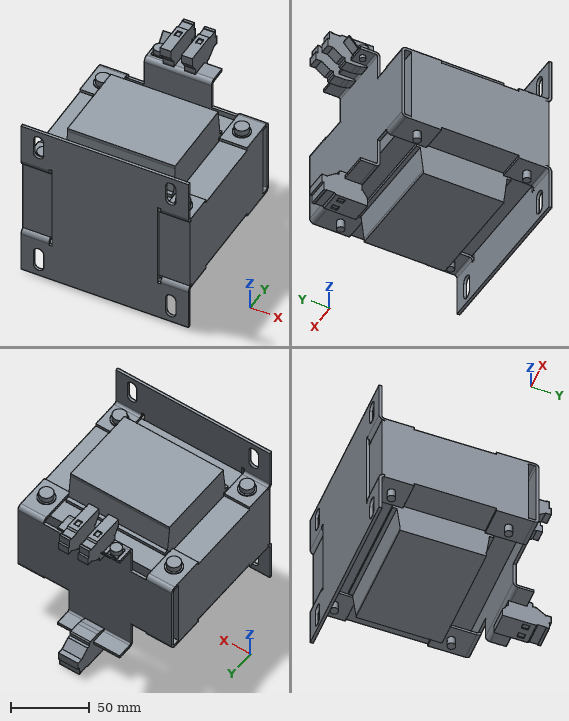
import cadquery as cq
import math


WIDTH = 120.0
DEPTH = 137.7
HEIGHT = 127.0
SHEET = 2.0

CORE_HALF_HEIGHT = 26.9
CORE_BACK = 101.8
WINDOW_FRONT = 22.3
WINDOW_BACK = 81.8
STRAP_WIDTH = 20.0
STRAP_INNER = WIDTH / 2 - STRAP_WIDTH

COIL_WIDTH = 77.1
COIL_TOP = 49.6
COIL_TOP_DEPTH = 58.7
COIL_BASE_DEPTH = 63.6
COIL_RIM_HEIGHT = 2.3
COIL_MIDDLE_Y = (WINDOW_FRONT + WINDOW_BACK) / 2
FLANGE_DEPTH = 68.8
FLANGE_THICKNESS = 2.3

PLATE_HEIGHT = 121.2
PLATE_OPENING_INNER = 37.9
PLATE_OPENING_HALF_HEIGHT = 32.0
PLATE_TAB_LENGTH = 24.0
PLATE_BEND_RADIUS = 4.0
SLOT_LENGTH = 18.0
SLOT_WIDTH = 7.3
SLOT_OFFSET = 47.4

BRACKET_BACK = 108.9
BRACKET_FRONT = BRACKET_BACK - SHEET
STRAP_FRONT = 80.0
STRAP_BEND_RADIUS = 3.3
TERMINAL_TAB_LEFT = -28.1
TERMINAL_TAB_RIGHT = 20.2
TERMINAL_TAB_BACK = 121.0
TERMINAL_TAB_HEIGHT = 47.4
TERMINAL_TAB_BEND_RADIUS = 3.3

BOLT_X = 49.7
BOLT_ROWS_Y = (12.4, 92.1)
BOLT_HEAD_DIAMETER = 9.8
BOLT_HEAD_TOP = 33.7
BOLT_DIAMETER = 5.4
BOLT_END = -35.3
BOLT_WASHER_DIAMETER = 12.1
BOLT_WASHER_THICKNESS = 0.7

TERMINAL_WIDTH = 7.7
TERMINAL_FRONT = 104.5
POCKET_WIDTH = 3.5
POCKET_LENGTH = 4.5
POCKET_DEPTH = 1.1
POCKET_Y = 121.7
UPPER_TERMINALS_X = (-11.4, 3.9)
LOWER_TERMINALS_X = (-3.7, 3.9)

LUG_X = -21.9
LUG_Y = 116.1
LUG_WIDTH = 7.8
LUG_BLADE_WIDTH = 7.0
LUG_THICKNESS = 0.7
LUG_FRONT = 111.8
LUG_BEND_Y = 121.5
LUG_BLADE_REACH = 6.7
LUG_BLADE_RISE = 7.7
EARTH_HEAD_DIAMETER = 8.0
EARTH_HEAD_TOP = 51.9
EARTH_SCREW_DIAMETER = 4.1
EARTH_SCREW_END = 43.0


def box(x_range, y_range, z_range):
    """Block between two limits along each axis."""
    sizes = [high - low for low, high in (x_range, y_range, z_range)]
    corner = (x_range[0], y_range[0], z_range[0])
    return cq.Workplane("XY").box(*sizes, centered=False).translate(corner)


def extrude_across(profile, left, right):
    """Extrude a closed YZ profile from x = left to x = right."""
    return profile.extrude(right - left).translate((left, 0, 0))


def cylinder(x, y, diameter, bottom, top):
    """Upright cylinder."""
    return cq.Workplane("XY", origin=(x, y, bottom)).circle(diameter / 2).extrude(top - bottom)


def with_mirror(solid, plane):
    """The solid joined with its mirror image."""
    return solid.union(solid.mirror(plane))


def bent_sheet(corner_y, corner_z, far_y, far_z, radius):
    """L-shaped YZ profile of a sheet whose outer faces meet at the given corner."""
    y_way = math.copysign(1, far_y - corner_y)
    z_way = math.copysign(1, far_z - corner_z)
    inner = radius - SHEET
    center_y = corner_y + y_way * radius
    center_z = corner_z + z_way * radius
    diagonal = math.sqrt(0.5)

    def on_bend(bend_radius):
        return center_y - y_way * bend_radius * diagonal, center_z - z_way * bend_radius * diagonal

    return (
        cq.Workplane("YZ")
        .moveTo(far_y, corner_z)
        .lineTo(center_y, corner_z)
        .threePointArc(on_bend(radius), (corner_y, center_z))
        .lineTo(corner_y, far_z)
        .lineTo(corner_y + y_way * SHEET, far_z)
        .lineTo(corner_y + y_way * SHEET, center_z)
        .threePointArc(on_bend(inner), (center_y, corner_z + z_way * SHEET))
        .lineTo(far_y, corner_z + z_way * SHEET)
        .close()
    )


def make_core():
    x_range = (-WIDTH / 2, WIDTH / 2)
    z_range = (-CORE_HALF_HEIGHT, CORE_HALF_HEIGHT)
    core = box(x_range, (SHEET, CORE_BACK), z_range)
    window = box((-STRAP_INNER, STRAP_INNER), (WINDOW_FRONT, WINDOW_BACK), z_range)
    return core.cut(window)


def make_coil():
    winding = box(
        (-COIL_WIDTH / 2, COIL_WIDTH / 2),
        (WINDOW_FRONT, WINDOW_BACK),
        (-CORE_HALF_HEIGHT, CORE_HALF_HEIGHT),
    )
    flange = (
        cq.Workplane("XY", origin=(0, COIL_MIDDLE_Y, CORE_HALF_HEIGHT))
        .rect(COIL_WIDTH, FLANGE_DEPTH)
        .extrude(FLANGE_THICKNESS)
    )
    head_profile = (
        cq.Workplane("YZ")
        .moveTo(COIL_MIDDLE_Y - COIL_BASE_DEPTH / 2, CORE_HALF_HEIGHT)
        .lineTo(COIL_MIDDLE_Y + COIL_BASE_DEPTH / 2, CORE_HALF_HEIGHT)
        .lineTo(COIL_MIDDLE_Y + COIL_TOP_DEPTH / 2, COIL_TOP - COIL_RIM_HEIGHT)
        .lineTo(COIL_MIDDLE_Y + COIL_TOP_DEPTH / 2, COIL_TOP)
        .lineTo(COIL_MIDDLE_Y - COIL_TOP_DEPTH / 2, COIL_TOP)
        .lineTo(COIL_MIDDLE_Y - COIL_TOP_DEPTH / 2, COIL_TOP - COIL_RIM_HEIGHT)
        .close()
    )
    head = extrude_across(head_profile, -COIL_WIDTH / 2, COIL_WIDTH / 2)
    return winding.union(with_mirror(head.union(flange), "XY"))


def make_mounting_plate():
    plate = (
        cq.Workplane("XZ")
        .rect(WIDTH, PLATE_HEIGHT)
        .extrude(-SHEET)
    )
    slots = (
        cq.Workplane("XZ")
        .rect(2 * SLOT_OFFSET, 2 * SLOT_OFFSET, forConstruction=True)
        .vertices()
        .slot2D(SLOT_LENGTH, SLOT_WIDTH, 90)
        .extrude(-SHEET)
    )
    opening = box(
        (PLATE_OPENING_INNER, WIDTH / 2),
        (0, SHEET),
        (-PLATE_OPENING_HALF_HEIGHT, PLATE_OPENING_HALF_HEIGHT),
    )
    tab_profile = bent_sheet(
        0, CORE_HALF_HEIGHT, PLATE_TAB_LENGTH, PLATE_OPENING_HALF_HEIGHT, PLATE_BEND_RADIUS
    )
    tab = extrude_across(tab_profile, STRAP_INNER, WIDTH / 2)
    tabs = with_mirror(with_mirror(tab, "XY"), "YZ")
    return plate.cut(slots).cut(with_mirror(opening, "YZ")).union(tabs)


def make_rear_bracket():
    wall_half_height = CORE_HALF_HEIGHT + SHEET - STRAP_BEND_RADIUS
    back_wall = box(
        (-STRAP_INNER, STRAP_INNER),
        (BRACKET_FRONT, BRACKET_BACK),
        (-wall_half_height, wall_half_height),
    )
    strap_profile = bent_sheet(
        BRACKET_BACK, CORE_HALF_HEIGHT + SHEET, STRAP_FRONT, 0, STRAP_BEND_RADIUS
    )
    strap = with_mirror(extrude_across(strap_profile, STRAP_INNER, WIDTH / 2), "YZ")
    tab_profile = bent_sheet(
        BRACKET_FRONT, TERMINAL_TAB_HEIGHT, TERMINAL_TAB_BACK, 0, TERMINAL_TAB_BEND_RADIUS
    )
    tab = extrude_across(tab_profile, TERMINAL_TAB_LEFT, TERMINAL_TAB_RIGHT)
    return back_wall.union(with_mirror(strap.union(tab), "XY"))


def make_bolt(x, y):
    seat = CORE_HALF_HEIGHT + SHEET
    shank = cylinder(x, y, BOLT_DIAMETER, BOLT_END, seat)
    washer = cylinder(x, y, BOLT_WASHER_DIAMETER, seat, seat + BOLT_WASHER_THICKNESS)
    head = cylinder(x, y, BOLT_HEAD_DIAMETER, seat, BOLT_HEAD_TOP)
    return shank.union(washer).union(head)


def make_terminal(x):
    """Terminal clipped over the upper bracket tab, with a pocket in its top."""
    top = HEIGHT / 2
    profile = cq.Workplane("YZ").polyline(
        [
            (TERMINAL_FRONT, top),
            (127.5, top),
            (128.6, 62.4),
            (134.4, 62.4),
            (134.4, 62.9),
            (136.3, 62.9),
            (136.3, 56.9),
            (DEPTH, 56.9),
            (DEPTH, 50.7),
            (133.8, 50.7),
            (127.2, 45.7),
            (125.2, 45.7),
            (125.2, 43.2),
            (124.2, 42.4),
            (116.6, 42.4),
            (113.5, 43.0),
            (108.9, 44.2),
            (108.5, 48.0),
            (108.5, 51.4),
            (TERMINAL_FRONT, 57.3),
        ]
    ).close()
    body = extrude_across(profile, x - TERMINAL_WIDTH / 2, x + TERMINAL_WIDTH / 2)
    pocket = (
        cq.Workplane("XY", origin=(x, POCKET_Y, top - POCKET_DEPTH))
        .rect(POCKET_WIDTH, POCKET_LENGTH)
        .extrude(POCKET_DEPTH)
    )
    return body.cut(pocket)


def make_earth_lug():
    """Flat lug with a blade bent upwards, held by a screw through the bracket tab."""
    lug_top = TERMINAL_TAB_HEIGHT + LUG_THICKNESS
    base = box(
        (LUG_X - LUG_WIDTH / 2, LUG_X + LUG_WIDTH / 2),
        (LUG_FRONT, LUG_BEND_Y),
        (TERMINAL_TAB_HEIGHT, lug_top),
    )
    blade_profile = (
        cq.Workplane("YZ")
        .moveTo(LUG_BEND_Y, TERMINAL_TAB_HEIGHT)
        .line(LUG_BLADE_REACH, LUG_BLADE_RISE)
        .line(-LUG_THICKNESS, LUG_THICKNESS)
        .lineTo(LUG_BEND_Y - LUG_THICKNESS, lug_top)
        .close()
    )
    blade = extrude_across(blade_profile, LUG_X - LUG_BLADE_WIDTH / 2, LUG_X + LUG_BLADE_WIDTH / 2)
    head = cylinder(LUG_X, LUG_Y, EARTH_HEAD_DIAMETER, lug_top, EARTH_HEAD_TOP)
    screw = cylinder(LUG_X, LUG_Y, EARTH_SCREW_DIAMETER, EARTH_SCREW_END, lug_top)
    return base.union(blade).union(head).union(screw)


result = make_core().union(make_coil()).union(make_mounting_plate()).union(make_rear_bracket())

for bolt_y in BOLT_ROWS_Y:
    for bolt_x in (-BOLT_X, BOLT_X):
        result = result.union(make_bolt(bolt_x, bolt_y))

for terminal_x in UPPER_TERMINALS_X:
    result = result.union(make_terminal(terminal_x))
for terminal_x in LOWER_TERMINALS_X:
    result = result.union(make_terminal(terminal_x).mirror("XY"))

result = result.union(make_earth_lug())